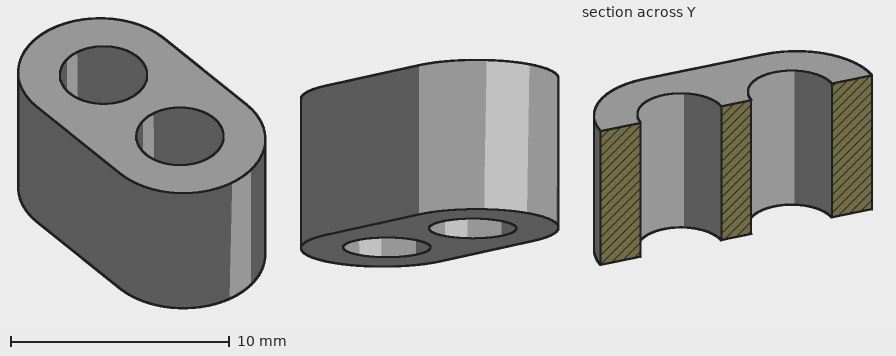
import cadquery as cq

length = 13.5
width = 7.5
height = 7.0

hole_diameter = 4.0
hole_spacing = 5.5

body = cq.Workplane("XY").slot2D(length, width).extrude(height)

hole_centers = [(-hole_spacing / 2, 0), (hole_spacing / 2, 0)]
result = body.faces(">Z").workplane().pushPoints(hole_centers).hole(hole_diameter)